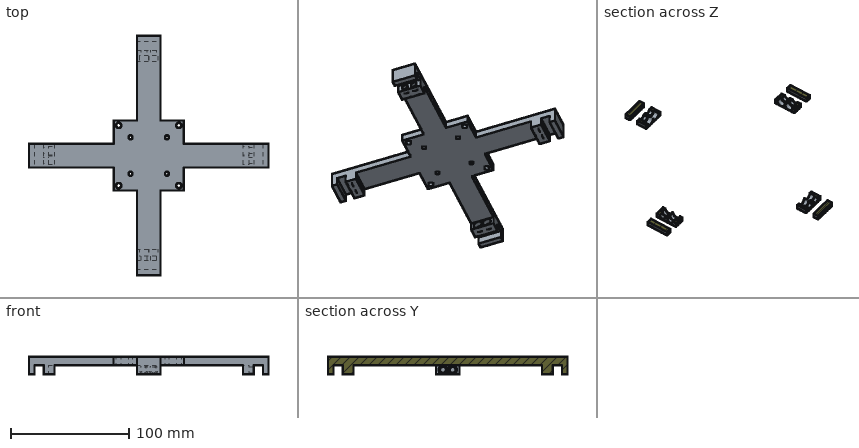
import cadquery as cq

span = 203.2
height = 15.0
arm_width = 20.3
plate_thickness = 7.3
hub_side = 59.5

end_wall = 4.9
foot_gap = 7.7
inner_block = 9.3

outer_hole_diameter = 4.3
outer_hole_spacing = 51.0
inner_hole_diameter = 3.3
inner_hole_spacing = 30.9

block_hole_diameter = 5.0
counterbore_diameter = 7.3
block_hole_spacing = 8.1
counterbore_depth = 5.3

foot_height = height - plate_thickness
block_hole_height = foot_height / 2
arm_end = span / 2


def make_plate():
    """Flat cross with a square hub, its lower face resting on top of the feet."""
    base = cq.Workplane("XY").workplane(offset=foot_height)
    plate = base.rect(hub_side, hub_side).extrude(plate_thickness)
    plate = plate.union(base.rect(span, arm_width).extrude(plate_thickness))
    return plate.union(base.rect(arm_width, span).extrude(plate_thickness))


def make_foot(outer_x, length):
    """Block under the +X arm, running inward from outer_x and reaching the plate's top."""
    return (
        cq.Workplane("XY")
        .center(outer_x - length / 2, 0)
        .rect(length, arm_width)
        .extrude(height)
    )


def make_inner_foot():
    """Inner block under the +X arm, with its pair of counterbored holes."""
    outer_x = arm_end - end_wall - foot_gap
    inner_x = outer_x - inner_block
    centres = cq.Workplane("YZ", origin=(inner_x, 0, block_hole_height)).pushPoints(
        [(-block_hole_spacing / 2, 0), (block_hole_spacing / 2, 0)]
    )
    holes = centres.circle(block_hole_diameter / 2).extrude(inner_block)
    counterbores = centres.circle(counterbore_diameter / 2).extrude(counterbore_depth)
    return make_foot(outer_x, inner_block).cut(holes).cut(counterbores)


def drill_square_pattern(body, spacing, diameter):
    """Four through holes at the corners of a centred square."""
    holes = (
        cq.Workplane("XY")
        .rect(spacing, spacing, forConstruction=True)
        .vertices()
        .circle(diameter / 2)
        .extrude(height)
    )
    return body.cut(holes)


result = make_plate()

end_foot = make_foot(arm_end, end_wall)
inner_foot = make_inner_foot()
for angle in (0, 90, 180, 270):
    for foot in (end_foot, inner_foot):
        result = result.union(foot.rotate((0, 0, 0), (0, 0, 1), angle))

result = drill_square_pattern(result.clean(), outer_hole_spacing, outer_hole_diameter)
result = drill_square_pattern(result, inner_hole_spacing, inner_hole_diameter)